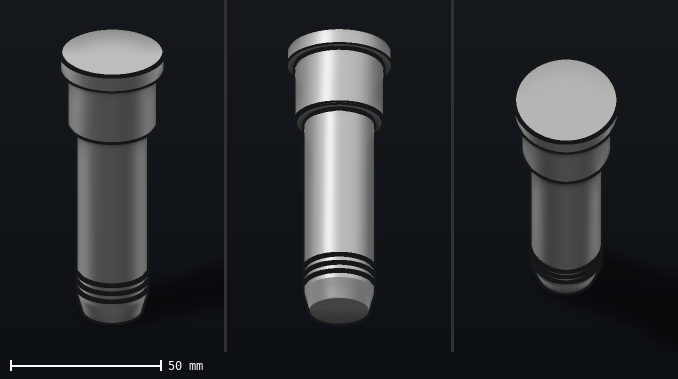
import cadquery as cq
import math

total_length = 97.0
head_height = 6.0
body_height = 21.0
body_top = total_length - head_height
body_bottom = body_top - body_height

head_radius = 17.51
body_radius = 15.0
shank_diameter = 24.0
shank_radius = shank_diameter / 2

head_chamfer = 0.5
body_chamfer = 0.6
body_top_chamfer = 0.3
body_neck_height = 0.6
body_neck_depth = 0.3
shank_neck_height = 1.0
shank_neck_depth = 0.5

taper_height = 7.0
taper_angle = math.radians(15)
tip_radius = shank_radius - taper_height * math.tan(taper_angle)
tip_fillet = 0.5

groove_count = 3
groove_pitch = 3.0
groove_depth = 0.5
first_groove_z = 9.5


def cylinder(radius, bottom, top):
    return cq.Workplane("XY").workplane(offset=bottom).circle(radius).extrude(top - bottom)


def make_head():
    return cylinder(head_radius, body_top, total_length).faces(">Z").chamfer(head_chamfer)


def make_body():
    shoulder = body_top - body_neck_height
    body = cylinder(body_radius, body_bottom, shoulder)
    body = body.faces("<Z").chamfer(body_chamfer).faces(">Z").chamfer(body_top_chamfer)
    neck = cylinder(body_radius - body_neck_depth, shoulder, body_top)
    return body.union(neck)


def make_shank():
    shank_top = body_bottom - shank_neck_height
    shank = cylinder(shank_radius, taper_height, shank_top)
    neck = cylinder(shank_radius - shank_neck_depth, shank_top, body_bottom)
    return shank.union(neck)


def make_tip():
    tip = (
        cq.Workplane("XY")
        .circle(tip_radius)
        .workplane(offset=taper_height)
        .circle(shank_radius)
        .loft()
    )
    return tip.faces("<Z").edges().fillet(tip_fillet)


def make_groove(z):
    return (
        cq.Workplane("XZ")
        .moveTo(shank_radius - groove_depth, z)
        .lineTo(shank_radius, z - groove_depth)
        .lineTo(shank_radius + groove_depth, z)
        .lineTo(shank_radius, z + groove_depth)
        .close()
        .revolve(360, (0, 0), (0, 1))
    )


result = make_head().union(make_body()).union(make_shank()).union(make_tip())
for index in range(groove_count):
    result = result.cut(make_groove(first_groove_z + index * groove_pitch))